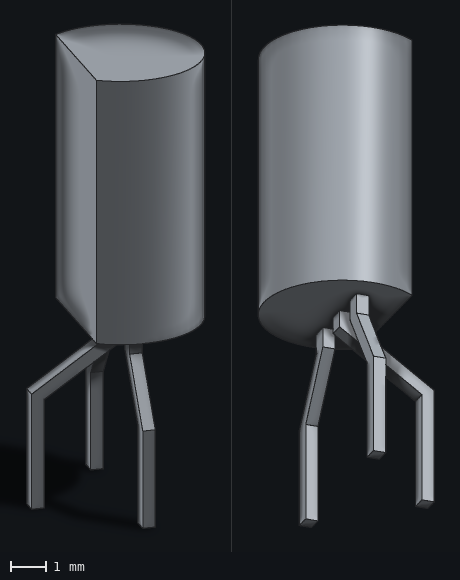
import cadquery as cq
import math


body_radius = 2.41
body_height = 8.0
flat_offset = 1.33

lead_width = 0.5
lead_thickness = 0.38

outer_root_x = 1.27
outer_tip_x = 2.56
outer_upper_bend_z = -0.61
outer_lower_bend_z = -2.5
outer_tip_z = -5.46

middle_reach = 2.54
middle_upper_bend_z = -0.31
middle_lower_bend_z = -2.0
middle_tip_z = -5.5


def make_body():
    """Round body with one flat face on the -Y side."""
    flat_half_width = math.sqrt(body_radius**2 - flat_offset**2)
    return (
        cq.Workplane("XY")
        .moveTo(-flat_half_width, -flat_offset)
        .threePointArc((0, body_radius), (flat_half_width, -flat_offset))
        .close()
        .extrude(body_height)
    )


def make_outer_lead(side):
    """Lead spread towards +X (side = 1) or -X (side = -1)."""
    centre_line = [
        (side * outer_root_x, 0),
        (side * outer_root_x, outer_upper_bend_z),
        (side * outer_tip_x, outer_lower_bend_z),
        (side * outer_tip_x, outer_tip_z),
    ]
    left_edge = [(x - lead_width / 2, z) for x, z in centre_line]
    right_edge = [(x + lead_width / 2, z) for x, z in centre_line]
    return (
        cq.Workplane("XZ")
        .polyline(left_edge + right_edge[::-1])
        .close()
        .extrude(lead_thickness / 2, both=True)
    )


def make_middle_lead():
    """Lead bent forward with mitred bends, so its thickness stays constant."""
    bend_drop = middle_upper_bend_z - middle_lower_bend_z
    bend_angle = math.atan2(middle_reach, bend_drop)
    mitre_drop = lead_thickness * math.tan(bend_angle / 2)
    root_front_y = -lead_thickness / 2
    root_back_y = lead_thickness / 2
    tip_front_y = root_front_y - middle_reach
    tip_back_y = root_back_y - middle_reach
    return (
        cq.Workplane("YZ")
        .polyline(
            [
                (root_front_y, 0),
                (root_front_y, middle_upper_bend_z),
                (tip_front_y, middle_lower_bend_z),
                (tip_front_y, middle_tip_z),
                (tip_back_y, middle_tip_z),
                (tip_back_y, middle_lower_bend_z - mitre_drop),
                (root_back_y, middle_upper_bend_z - mitre_drop),
                (root_back_y, 0),
            ]
        )
        .close()
        .extrude(lead_width / 2, both=True)
    )


result = make_body().union(make_middle_lead())
for side in (-1, 1):
    result = result.union(make_outer_lead(side))